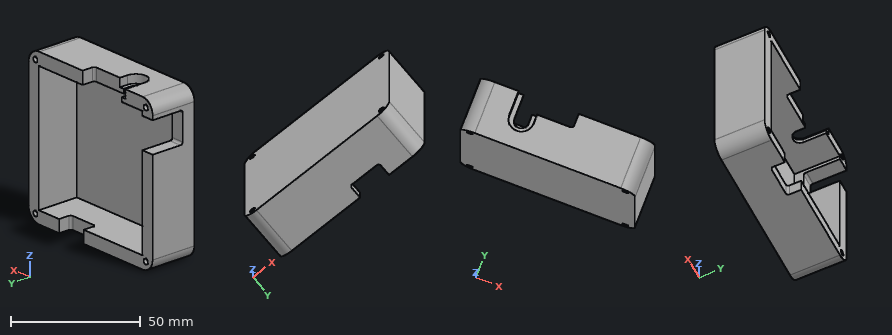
import cadquery as cq

side = 72.25
depth = 21.5
corner_radius = 6.0
wall = 6.0
floor = 2.0

screw_diameter = 2.4
screw_inset = 4.0

cable_x = 20.9
cable_outer_width = 10.0
cable_inner_width = 5.8
cable_outer_depth = 14.9
cable_step = (cable_outer_width - cable_inner_width) / 2
cable_inner_depth = cable_outer_depth - cable_step
cable_recess = 4.0

notch_depth = 6.1
top_notch_right = 40.75
bottom_notch_left = 40.1
notch_corner_radius = 1.1

port_top_inset = 8.0
port_height = 14.4
port_depth = 15.45
port_corner_radius = 1.1
bottom_notch_width = port_height


def block(x0, x1, y0, y1, z0, z1):
    """Box between opposite corner coordinates."""
    return cq.Workplane("XY").box(x1 - x0, y1 - y0, z1 - z0, centered=False).translate((x0, y0, z0))


def cable_slot(width, slot_depth, z0, z1):
    """Round-ended slot entering from the open back."""
    radius = width / 2
    center_y = depth - slot_depth + radius
    straight = block(cable_x - radius, cable_x + radius, center_y, depth, z0, z1)
    end = cq.Workplane("XY", origin=(cable_x, center_y, z0)).circle(radius).extrude(z1 - z0)
    return straight.union(end)


def enclosure():
    body = block(0, side, 0, depth, 0, side).edges("|Y").fillet(corner_radius)
    cavity = block(wall, side - wall, floor, depth, wall, side - wall)
    return body.cut(cavity)


def screw_holes():
    near, far = screw_inset, side - screw_inset
    centers = [(x, z) for x in (near, far) for z in (near, far)]
    return (
        cq.Workplane("XZ", origin=(0, depth, 0))
        .pushPoints(centers)
        .circle(screw_diameter / 2)
        .extrude(depth)
    )


def top_opening():
    inner_bottom = side - wall
    recess_bottom = side - cable_recess
    outer_slot = cable_slot(cable_outer_width, cable_outer_depth, recess_bottom, side)
    inner_slot = cable_slot(cable_inner_width, cable_inner_depth, inner_bottom, side)
    notch = block(cable_x, top_notch_right, depth - notch_depth, depth, inner_bottom, side)
    notch = notch.edges("|Z and >X and <Y").fillet(notch_corner_radius)
    return outer_slot.union(inner_slot).union(notch)


def bottom_opening():
    right = bottom_notch_left + bottom_notch_width
    notch = block(bottom_notch_left, right, depth - notch_depth, depth, 0, wall)
    return notch.edges("|Z and <Y").fillet(notch_corner_radius)


def left_port():
    top = side - port_top_inset
    port = block(0, wall, depth - port_depth, depth, top - port_height, top)
    return port.edges("|X and <Y").fillet(port_corner_radius)


result = enclosure()
for cutter in (screw_holes(), top_opening(), bottom_opening(), left_port()):
    result = result.cut(cutter)